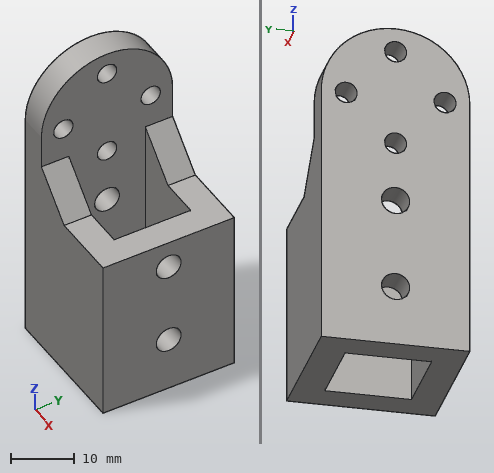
import cadquery as cq

width = 24.0
height = 55.0
wall = 5.0
sleeve_height = 30.0
slope_end = width / 2
pattern_radius = 8.0
small_hole = 3.5
large_hole = 4.5
large_hole_heights = (10.0, 25.0)

end_radius = width / 2
end_center_z = height - end_radius
slope_top = sleeve_height + slope_end - wall
opening = width - 2 * wall


def side_body():
    """Side profile of plate, slope and sleeve, extruded across the width."""
    profile = [
        (0, 0),
        (width, 0),
        (width, sleeve_height),
        (slope_end, sleeve_height),
        (wall, slope_top),
        (wall, height),
        (0, height),
    ]
    return cq.Workplane("XZ").polyline(profile).close().extrude(width / 2, both=True)


def rounded_outline():
    """Round-topped envelope that shapes the upper end of the plate."""
    return (
        cq.Workplane("YZ")
        .moveTo(-end_radius, 0)
        .lineTo(end_radius, 0)
        .lineTo(end_radius, end_center_z)
        .threePointArc((0, height), (-end_radius, end_center_z))
        .close()
        .extrude(width)
    )


def square_opening():
    """Square passage running vertically through the sleeve."""
    return (
        cq.Workplane("XY")
        .center(width / 2, 0)
        .rect(opening, opening)
        .extrude(height)
    )


def holes_along_x(points, diameter):
    """Cylinders along X through the whole part at the given (Y, Z) points."""
    return cq.Workplane("YZ").pushPoints(points).circle(diameter / 2).extrude(width)


small_hole_points = [
    (0, end_center_z + pattern_radius),
    (0, end_center_z - pattern_radius),
    (pattern_radius, end_center_z),
    (-pattern_radius, end_center_z),
]
large_hole_points = [(0, z) for z in large_hole_heights]

result = (
    side_body()
    .intersect(rounded_outline())
    .cut(square_opening())
    .cut(holes_along_x(small_hole_points, small_hole))
    .cut(holes_along_x(large_hole_points, large_hole))
)